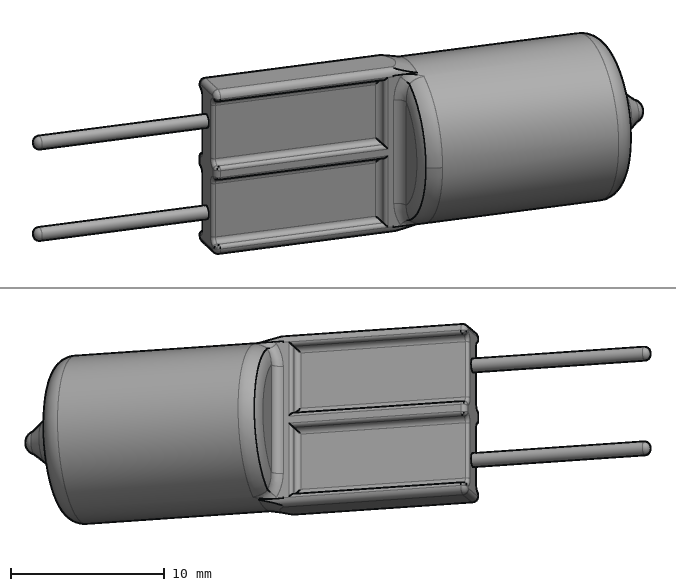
import cadquery as cq
import math


total_length = 42.25
stem_height = 11.4
bulb_radius = 5.5

bulb_length = 17.25
base_flat_radius = 4.23
base_crease_radius = 5.15
base_crease_y = 0.3
base_round_length = 1.3
base_round_radius = 1.9
shoulder_radius = 1.25

dome_radius = 0.75
dome_depth = 0.55
cone_start_radius = 1.35
cone_start_depth = 1.25
cone_end_radius = 1.75
cone_end_depth = 1.7
flare_radius = 3.13
flare_curve_radius = 3.8
tip_depth = 2.45

stem_width = 3.2
stem_length = 13.0
stem_start_y = 1.45
stem_corner_radius = 0.5
stem_end_radius = 0.4
root_y = 1.0
root_taper_angle = 12

neck_radius = 0.65
neck_top_y = 4.23
neck_embed = 0.42

floor_fillet = 0.4
rim_round = 0.25
floor_end_round = 0.25
recess_depth = floor_fillet + rim_round
recess_start = 1.0
rib_width = 0.45

pin_radius = 0.45
pin_spacing = 6.35
pin_round = 0.42
pin_length = total_length - bulb_length - stem_length
pin_embed = 0.85

selection_margin = 0.005


def make_bulb():
    """Revolve the bulb outline (X is the radius) about the Y axis."""
    shoulder_y = bulb_length - tip_depth
    dome_curve_radius = (dome_radius**2 + dome_depth**2) / (2 * dome_depth)
    outline = (
        cq.Workplane("XY")
        .moveTo(0, 0)
        .lineTo(base_flat_radius, 0)
        .radiusArc((base_crease_radius, base_crease_y), -base_round_radius)
        .radiusArc((bulb_radius, base_round_length), -base_round_radius)
        .lineTo(bulb_radius, shoulder_y - shoulder_radius)
        .radiusArc((bulb_radius - shoulder_radius, shoulder_y), -shoulder_radius)
        .lineTo(flare_radius, shoulder_y)
        .radiusArc((cone_end_radius, bulb_length - cone_end_depth), flare_curve_radius)
        .lineTo(cone_start_radius, bulb_length - cone_start_depth)
        .lineTo(dome_radius, bulb_length - dome_depth)
        .radiusArc((0, bulb_length), -dome_curve_radius)
        .close()
    )
    return outline.revolve(360, (0, 0, 0), (0, 1, 0))


def make_neck():
    """Concave blend from both broad sides of the stem into the base of the bulb.

    A slab as wide as the stem but taller than the bulb is blended into the lower bulb,
    then everything outside the bulb wall is trimmed off so that the blend runs out there.
    """
    neck_length = neck_top_y + neck_radius
    lower_bulb = make_bulb().intersect(
        cq.Workplane("XY")
        .box(4 * bulb_radius, neck_top_y, 4 * bulb_radius)
        .translate((0, neck_top_y / 2, 0))
    )
    slab = (
        cq.Workplane("XY")
        .box(stem_width, neck_length + neck_embed, 2 * stem_height)
        .translate((0, (neck_top_y - neck_radius - neck_embed) / 2, 0))
    )
    corner_zone = cq.selectors.BoxSelector(
        (-stem_width, -selection_margin, -bulb_radius),
        (stem_width, neck_top_y - selection_margin, bulb_radius),
    )
    blended = lower_bulb.union(slab)
    corners = blended.edges(corner_zone).edges("not %CIRCLE")
    bulb_wall = (
        cq.Workplane("XZ", origin=(0, neck_top_y, 0))
        .circle(bulb_radius)
        .extrude(neck_length)
    )
    return corners.fillet(neck_radius).intersect(bulb_wall)


def start_recess_outline(plane, start):
    """Draw the first flank of a recess: a rounded rim, then a concave fillet to the floor.

    Local x runs across the recess and local y out of the broad face of the stem.
    """
    face = stem_width / 2
    fillet_start = start + rim_round
    return (
        cq.Workplane(plane)
        .moveTo(start, stem_width)
        .lineTo(start, face)
        .radiusArc((fillet_start, face - rim_round), rim_round)
        .radiusArc((fillet_start + floor_fillet, face - recess_depth), -floor_fillet)
    )


def make_recess():
    """Upper recess of the +X face, with mitred corners and an open pin end."""
    face = stem_width / 2
    floor = face - recess_depth
    along_z = cq.Plane(origin=(0, 0, 0), xDir=(0, 0, 1), normal=(0, 1, 0))
    along_y = cq.Plane(origin=(0, 0, 0), xDir=(0, -1, 0), normal=(0, 0, 1))
    open_end = stem_length + recess_depth

    top = stem_height / 2 - stem_corner_radius
    across = (
        start_recess_outline(along_z, rib_width / 2)
        .lineTo(top - recess_depth, floor)
        .radiusArc((top - rim_round, floor + floor_fillet), -floor_fillet)
        .radiusArc((top, face), rim_round)
        .lineTo(top, stem_width)
        .close()
        .extrude(-open_end)
    )
    lengthwise = (
        start_recess_outline(along_y, recess_start)
        .lineTo(open_end, floor)
        .lineTo(open_end, stem_width)
        .close()
        .extrude(stem_height)
    )
    return across.intersect(lengthwise)


def make_root_cone():
    """Cone about Y that tapers the narrow faces of the stem down into the bulb wall."""
    slope = math.tan(math.radians(root_taper_angle))
    start_radius = bulb_radius - slope * (stem_start_y - root_y)
    end_radius = bulb_radius + slope * (root_y + stem_length)
    outline = (
        cq.Workplane("XY")
        .moveTo(0, stem_start_y)
        .lineTo(start_radius, stem_start_y)
        .lineTo(end_radius, -stem_length)
        .lineTo(0, -stem_length)
        .close()
    )
    return outline.revolve(360, (0, 0, 0), (0, 1, 0))


def make_stem():
    """Rounded bar with a recess above and below the centre rib on both broad faces."""
    stem = (
        cq.Workplane("XZ", origin=(0, stem_start_y, 0))
        .rect(stem_width, stem_height)
        .extrude(stem_start_y + stem_length)
        .edges("|Y")
        .fillet(stem_corner_radius)
        .faces("<Y")
        .edges()
        .fillet(stem_end_radius)
        .intersect(make_root_cone())
    )
    upper_right = make_recess()
    right = upper_right.union(upper_right.mirror("XY"))
    stem = stem.cut(right).cut(right.mirror("YZ"))

    floor = stem_width / 2 - recess_depth
    end_strip = cq.selectors.BoxSelector(
        (-floor - selection_margin, -stem_length - selection_margin, -stem_height),
        (floor + selection_margin, -stem_length + selection_margin, stem_height),
    )
    floor_ends = stem.edges(end_strip).edges("|Z")
    return floor_ends.fillet(floor_end_round)


def make_pins():
    pins = (
        cq.Workplane("XZ", origin=(0, pin_embed - stem_length, 0))
        .pushPoints([(0, -pin_spacing / 2), (0, pin_spacing / 2)])
        .circle(pin_radius)
        .extrude(pin_embed + pin_length)
    )
    return pins.faces("<Y").edges().fillet(pin_round)


result = make_bulb().union(make_neck()).union(make_stem()).union(make_pins())